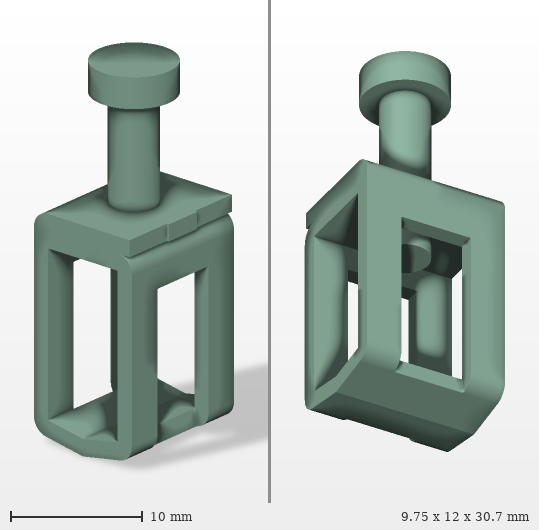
import cadquery as cq
import math

width = 9.75
depth = 12.0
sheet = 1.4
clamp_top = 19.0
floor_angle = math.radians(10)

window_width = 6.02
window_top = 14.12
window_corner_radius = 0.2

tab_width = 3.32
tab_length = 0.2

total_height = 30.7
head_diameter = 7.0
head_height = 2.6
shank_diameter = 4.0
shank_bottom = 14.1

half_width = width / 2
inner_half = half_width - sheet
flange_bottom = clamp_top - sheet
inner_top = flange_bottom - sheet
floor_apex = sheet / math.cos(floor_angle)
inner_corner = floor_apex + inner_half * math.tan(floor_angle)
bend_end_x = inner_half + sheet * math.sin(floor_angle)
bend_end_z = inner_corner - sheet * math.cos(floor_angle)
bend_mid_angle = (math.pi / 2 - floor_angle) / 2
bend_mid_x = inner_half + sheet * math.cos(bend_mid_angle)
bend_mid_z = inner_corner - sheet * math.sin(bend_mid_angle)
diagonal = sheet * math.sqrt(0.5)


def block(x_min, x_max, y_size, z_min, z_max):
    """Box centred on Y between the given X and Z limits."""
    size_x = x_max - x_min
    size_z = z_max - z_min
    return cq.Workplane("XY").box(size_x, y_size, size_z).translate(
        ((x_min + x_max) / 2, 0, (z_min + z_max) / 2)
    )


def make_strip():
    """Closed loop of sheet: overlapped flanges on top, V-shaped floor below."""
    outline = (
        cq.Workplane("XZ")
        .moveTo(0, 0)
        .lineTo(bend_end_x, bend_end_z)
        .threePointArc((bend_mid_x, bend_mid_z), (half_width, inner_corner))
        .lineTo(half_width, inner_top)
        .threePointArc(
            (inner_half + diagonal, inner_top + diagonal), (inner_half, flange_bottom)
        )
        .lineTo(half_width, flange_bottom)
        .lineTo(half_width, clamp_top)
        .lineTo(-inner_half, clamp_top)
        .threePointArc(
            (-inner_half - diagonal, flange_bottom + diagonal), (-half_width, flange_bottom)
        )
        .lineTo(-half_width, inner_corner)
        .threePointArc((-bend_mid_x, bend_mid_z), (-bend_end_x, bend_end_z))
        .close()
        .extrude(depth / 2, both=True)
    )
    opening = (
        cq.Workplane("XZ")
        .moveTo(0, floor_apex)
        .lineTo(inner_half, inner_corner)
        .lineTo(inner_half, inner_top)
        .lineTo(-inner_half, inner_top)
        .lineTo(-inner_half, inner_corner)
        .close()
        .extrude(depth / 2, both=True)
    )
    return outline.cut(opening)


def cut_windows(body):
    """Open both walls and lower bends, ending square to the floor with rounded corners."""
    wall_cut = block(inner_half, half_width, window_width, inner_corner, window_top)
    floor_end = cq.Plane(
        origin=(inner_half, 0, inner_corner),
        xDir=(math.cos(floor_angle), 0, math.sin(floor_angle)),
        normal=(-math.sin(floor_angle), 0, math.cos(floor_angle)),
    )
    cutter_size = 2 * sheet
    bend_cut = (
        cq.Workplane(floor_end)
        .center(cutter_size / 2, 0)
        .rect(cutter_size, window_width)
        .extrude(-cutter_size)
        .edges(cq.selectors.ParallelDirSelector(floor_end.zDir))
        .edges("<X")
        .fillet(window_corner_radius)
    )
    window = wall_cut.union(bend_cut)
    return body.cut(window).cut(window.mirror("YZ"))


def cut_flange_edge(body):
    """Set the flange edge back on both sides of its central tab."""
    edge = block(half_width - tab_length, half_width, depth, flange_bottom, clamp_top)
    tab = block(half_width - tab_length, half_width, tab_width, flange_bottom, clamp_top)
    return body.cut(edge.cut(tab))


def make_screw():
    """Plain shank with a cylindrical head."""
    shank = (
        cq.Workplane("XY", origin=(0, 0, shank_bottom))
        .circle(shank_diameter / 2)
        .extrude(total_height - shank_bottom)
    )
    head = (
        cq.Workplane("XY", origin=(0, 0, total_height - head_height))
        .circle(head_diameter / 2)
        .extrude(head_height)
    )
    return shank.union(head)


clamp = cut_flange_edge(cut_windows(make_strip()))
result = clamp.union(make_screw())